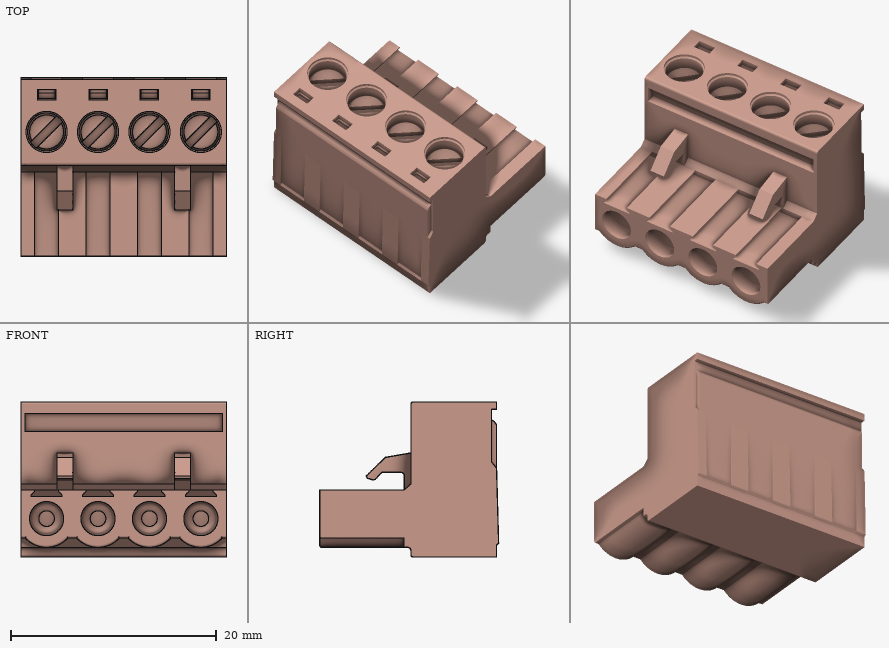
import cadquery as cq
import math


pole_count = 4
pitch = 5.0
length = pole_count * pitch
height = 15.1
rear_y = 17.2
rear_bulge = 0.2
body_front_y = 8.85
pole_centers = [pitch * (i + 0.5) for i in range(pole_count)]

body_top_round = 0.25
body_bottom_round = 0.25
rear_recess_y = 16.7
rear_lip_bottom = height - 0.75
rear_ramp_top = 9.25
rear_taper_top = 8.63
rear_taper_bottom = 1.35

panel_inset = 0.28
panel_top = 13.35
panel_shoulder = 12.8
panel_top_radius = 1.0
rear_window_width = 3.0

entry_top = 6.53
entry_root_y = 8.2
web_bottom = 1.85
barrel_radius = 2.8
barrel_z = 3.74
barrel_bottom = barrel_z - barrel_radius
entry_edge_round = 0.2
root_chamfer_top = 7.1
root_fillet = 0.3

wire_hole_radius = 1.66
wire_hole_depth = 1.6
wire_cone_depth = 0.5
wire_cone_end_radius = 0.76

groove_mouth = 2.36
groove_floor = 3.0
groove_depth = 0.63
groove_lip = 0.16
groove_wall = 0.15

hook_width = 1.55
hook_inset = 3.5
hook_fillet = 0.33

label_inset = 0.42
label_bottom = 12.2
label_top = 13.95
label_depth = 0.9

screw_y = 12.1
opening_radius = 2.0
opening_depth = 0.27
opening_taper = 0.12
screw_radius = 1.85
screw_head_depth = 1.45
screw_head_chamfer = 0.2
drive_slot_width = 0.83
drive_slot_depth = 0.58
drive_slot_angle = 45

probe_length = 1.8
probe_front_y = 15.2
probe_rear_y = 16.21
probe_depth = 0.63
probe_ramp_length = 1.6
probe_ramp_front_y = 15.35
probe_ramp_rear_y = 15.87
probe_shelf_drop = 0.05
probe_ramp_drop = 0.2


def box(x0, x1, y0, y1, z0, z1):
    return cq.Workplane("XY").box(x1 - x0, y1 - y0, z1 - z0, centered=False).translate((x0, y0, z0))


def extrude_along_x(side_profile, x_start, width):
    """Extrude a closed profile drawn in (Y, Z) along +X from x_start."""
    return side_profile.extrude(width).translate((x_start, 0, 0))


def make_body():
    bulge_y = rear_y + rear_bulge
    profile = (
        cq.Workplane("YZ")
        .moveTo(body_front_y + body_bottom_round, 0)
        .lineTo(rear_y, 0)
        .lineTo(rear_y, rear_taper_bottom - rear_bulge)
        .lineTo(bulge_y, rear_taper_bottom)
        .lineTo(rear_y, rear_taper_top)
        .lineTo(rear_recess_y, rear_ramp_top)
        .lineTo(rear_recess_y, rear_lip_bottom)
        .lineTo(rear_y, rear_lip_bottom)
        .lineTo(rear_y, height)
        .lineTo(body_front_y + body_top_round, height)
        .radiusArc((body_front_y, height - body_top_round), -body_top_round)
        .lineTo(body_front_y, root_chamfer_top)
        .lineTo(entry_root_y, entry_top)
        .lineTo(entry_root_y, barrel_bottom)
        .lineTo(body_front_y - root_fillet, barrel_bottom)
        .radiusArc((body_front_y, barrel_bottom - root_fillet), root_fillet)
        .lineTo(body_front_y, body_bottom_round)
        .radiusArc((body_front_y + body_bottom_round, 0), -body_bottom_round)
        .close()
    )
    return extrude_along_x(profile, 0, length)


def make_rear_panel():
    profile = (
        cq.Workplane("YZ")
        .moveTo(rear_recess_y, rear_taper_top)
        .lineTo(rear_y, rear_taper_top)
        .lineTo(rear_y, panel_shoulder)
        .radiusArc((rear_recess_y, panel_top), -panel_top_radius)
        .close()
    )
    return extrude_along_x(profile, panel_inset, length - 2 * panel_inset)


def make_rear_window(center_x):
    """Cutter that flattens the tapered wall behind a pole and ends in a 45 degree ramp."""
    profile = (
        cq.Workplane("YZ")
        .moveTo(rear_y, rear_taper_top)
        .lineTo(rear_y, rear_taper_bottom + rear_bulge)
        .lineTo(rear_y + rear_bulge, rear_taper_bottom)
        .lineTo(rear_y + rear_bulge, rear_taper_top)
        .close()
    )
    return extrude_along_x(profile, center_x - rear_window_width / 2, rear_window_width)


def make_entry_block():
    block = (
        box(0, length, 0, entry_root_y, web_bottom, entry_top)
        .faces("<Y")
        .edges("<Z")
        .fillet(entry_edge_round)
    )
    below_web = box(0, length, 0, entry_root_y, 0, web_bottom + entry_edge_round)
    for x in pole_centers:
        barrel = (
            cq.Workplane("XZ")
            .center(x, barrel_z)
            .circle(barrel_radius)
            .extrude(-entry_root_y)
            .faces("<Y")
            .edges()
            .fillet(entry_edge_round)
        )
        block = block.union(barrel.intersect(below_web))
    return block


def make_wire_hole(center_x):
    cone_end = wire_hole_depth + wire_cone_depth
    return (
        cq.Workplane("XY")
        .polyline([
            (0, 0),
            (wire_hole_radius, 0),
            (wire_hole_radius, wire_hole_depth),
            (wire_cone_end_radius, cone_end),
            (0, cone_end),
        ])
        .close()
        .revolve(360, (0, 0, 0), (0, 1, 0))
        .translate((center_x, 0, barrel_z))
    )


def make_groove(center_x):
    floor_z = entry_top - groove_depth
    right_side = [
        (groove_floor / 2, floor_z),
        (groove_floor / 2, floor_z + groove_wall),
        (groove_mouth / 2, entry_top - groove_lip),
        (groove_mouth / 2, entry_top),
    ]
    left_side = [(-x, z) for x, z in reversed(right_side)]
    return (
        cq.Workplane("XZ")
        .polyline(right_side + left_side)
        .close()
        .extrude(-entry_root_y)
        .translate((center_x, 0, 0))
    )


def make_hook(x_start):
    arm_under_z = 8.23
    profile = (
        cq.Workplane("YZ")
        .moveTo(body_front_y, entry_top)
        .lineTo(body_front_y, 10.13)
        .lineTo(6.37, 9.7)
        .lineTo(4.52, 7.88)
        .lineTo(4.62, 7.66)
        .lineTo(5.2, 7.48)
        .lineTo(5.4, 7.55)
        .lineTo(6.02, arm_under_z)
        .lineTo(entry_root_y - hook_fillet, arm_under_z)
        .radiusArc((entry_root_y, arm_under_z - hook_fillet), hook_fillet)
        .lineTo(entry_root_y, entry_top)
        .close()
    )
    return extrude_along_x(profile, x_start, hook_width)


def make_screw_opening(center_x):
    """Cutter that leaves the slotted screw head at the bottom of its shaft."""
    head_z = height - screw_head_depth
    at_screw = cq.Workplane("XY").center(center_x, screw_y)
    mouth = at_screw.workplane(height - opening_depth).circle(opening_radius).extrude(opening_depth)
    taper = (
        at_screw.workplane(height - opening_depth - opening_taper)
        .circle(screw_radius)
        .workplane(opening_taper)
        .circle(opening_radius)
        .loft()
    )
    shaft_bottom = head_z - drive_slot_depth
    shaft = at_screw.workplane(shaft_bottom).circle(screw_radius).extrude(height - shaft_bottom)
    head = (
        at_screw.workplane(shaft_bottom)
        .circle(screw_radius)
        .extrude(drive_slot_depth)
        .faces(">Z")
        .chamfer(screw_head_chamfer)
    )
    drive_slot = (
        cq.Workplane("XY")
        .box(3 * screw_radius, drive_slot_width, drive_slot_depth, centered=(True, True, False))
        .rotate((0, 0, 0), (0, 0, 1), drive_slot_angle)
        .translate((center_x, screw_y, shaft_bottom))
    )
    return mouth.union(taper).union(shaft.cut(head.cut(drive_slot)))


def make_probe_pocket(center_x):
    x0 = center_x - probe_length / 2
    floor_z = height - probe_depth
    shelf_z = floor_z - probe_shelf_drop
    pocket = box(x0, x0 + probe_length, probe_front_y, probe_rear_y, floor_z, height)
    ramp = (
        cq.Workplane("YZ")
        .moveTo(probe_rear_y, floor_z)
        .lineTo(probe_rear_y, shelf_z)
        .lineTo(probe_ramp_rear_y, shelf_z)
        .lineTo(probe_ramp_front_y, shelf_z - probe_ramp_drop)
        .lineTo(probe_ramp_front_y, floor_z)
        .close()
    )
    return pocket.union(extrude_along_x(ramp, center_x - probe_ramp_length / 2, probe_ramp_length))


result = make_body().union(make_rear_panel()).union(make_entry_block())
for x in pole_centers:
    result = result.cut(make_rear_window(x))
    result = result.cut(make_wire_hole(x)).cut(make_groove(x))
    result = result.cut(make_screw_opening(x)).cut(make_probe_pocket(x))

for x_start in (hook_inset, length - hook_inset - hook_width):
    result = result.union(make_hook(x_start))

result = result.cut(box(
    label_inset, length - label_inset,
    body_front_y, body_front_y + label_depth,
    label_bottom, label_top))